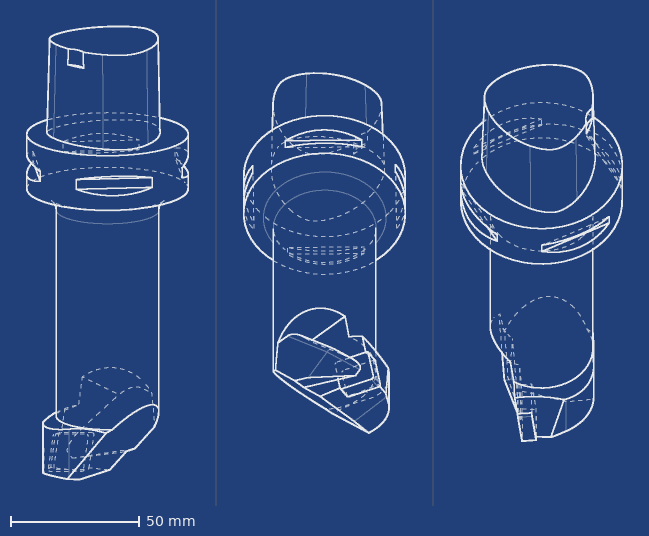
import cadquery as cq
import math


shank_length = 38.0
base_radius = 22.0
tip_radius = 21.2
base_lobe = 1.8
tip_lobe = 1.6
lobe_direction = 90
seam_angle = 38
spline_steps = 8

notch_radius = 7.5
notch_center_y = -25.8
notch_depth = 6.4

flange_radius = 31.5
flange_height = 22.0
neck_diameter = 40.0
neck_radius = neck_diameter / 2
neck_end_z = -30.6
neck_fillet = 7.0
neck_fillet_start = math.radians(26)

slot_count = 4
slot_flat = 27.8
slot_z = -12.3
slot_floor_height = 4.0
slot_mouth_height = 7.8

head_top_z = -114.0
head_bottom_z = -138.0
head_slope = 0.55
head_outer_radius = 32.0
head_arc_radius = 16.4
head_arc_x = -6.4
head_arc_y = -6.0
flank_angle = math.radians(17)
flank_length = 21.4
left_wall_angle = math.radians(216)

back_relief = ((neck_radius, 0, -106.3), (16.1, 0, -12.4))
side_relief = ((-23.9, 0, -116.8), (-1, -0.25, 0.1))
bottom_bevel = ((0, -12.5, -137.8), (0, -0.27, -1))
rake_point = (-24.7, 3.5, -116.8)
rake_normal = (-0.29, 1, -0.13)
flute_end_point = (-18.5, 7.5, -102.7)
flute_end_normal = (-0.39, 0.55, -0.75)

ridge_bend_x = -13.4
ridge_bend_z = -118.9
ridge_sink = 0.3
ridge_run = (18.7, 20.1)
ridge_height = 4.8
ridge_round = 3.2
ridge_width = 53.4
ridge_length = 106.8
ridge_underside = ((2.0, 0, -130.0), (0.23, 0, -1))

insert_tip_x = -27.2
insert_tip_z = -140.3
insert_side = 15.0
insert_thickness = 5.5
insert_corner_radius = 0.9
insert_lean = math.radians(6)

trim_size = 213.6


def on_rake(x, z):
    """Point of the rake plane at the given X and Z."""
    nx, ny, nz = rake_normal
    y = rake_point[1] - (nx * (x - rake_point[0]) + nz * (z - rake_point[2])) / ny
    return cq.Vector(x, y, z)


def half_space(point, normal):
    """Large block on the outward side of a plane."""
    plane = cq.Plane(origin=point, normal=normal)
    return cq.Workplane(plane).rect(trim_size, trim_size).extrude(trim_size)


def polygon_wire(radius, lobe, z):
    """Three-lobed outline made of six smooth spline edges."""
    def point(angle):
        x = radius * math.cos(angle) + 2 * lobe * math.cos(2 * angle) - lobe * math.cos(4 * angle)
        y = radius * math.sin(angle) - 2 * lobe * math.sin(2 * angle) - lobe * math.sin(4 * angle)
        turn = math.radians(lobe_direction)
        return cq.Vector(
            x * math.cos(turn) - y * math.sin(turn),
            x * math.sin(turn) + y * math.cos(turn),
            z,
        )

    def tangent(angle):
        heading = angle + math.radians(lobe_direction)
        return cq.Vector(-math.sin(heading), math.cos(heading), 0)

    seams = []
    for lobe_angle in (0, 120, 240, 360):
        seams += [math.radians(lobe_angle - seam_angle), math.radians(lobe_angle + seam_angle)]
    edges = []
    for start, end in zip(seams[:-2], seams[1:-1]):
        points = [point(start + (end - start) * i / spline_steps) for i in range(spline_steps + 1)]
        edges.append(cq.Edge.makeSpline(points, tangents=[tangent(start), tangent(end)]))
    return cq.Wire.assembleEdges(edges)


def make_shank():
    base = polygon_wire(base_radius, base_lobe, 0)
    tip = polygon_wire(tip_radius, tip_lobe, shank_length)
    shank = cq.Workplane(cq.Solid.makeLoft([base, tip], True))
    notch = (
        cq.Workplane("XY", origin=(0, notch_center_y, shank_length - notch_depth))
        .circle(notch_radius)
        .extrude(notch_depth)
    )
    return shank.cut(notch)


def make_flange_and_neck():
    arc_x = neck_radius + neck_fillet

    def fillet_point(angle):
        return (arc_x - neck_fillet * math.sin(angle), neck_end_z + neck_fillet * math.cos(angle))

    middle_angle = (neck_fillet_start + math.pi / 2) / 2
    return (
        cq.Workplane("XZ")
        .moveTo(0, 0)
        .lineTo(flange_radius, 0)
        .lineTo(flange_radius, -flange_height)
        .lineTo(*fillet_point(neck_fillet_start))
        .threePointArc(fillet_point(middle_angle), (neck_radius, neck_end_z))
        .lineTo(neck_radius, head_bottom_z)
        .lineTo(0, head_bottom_z)
        .close()
        .revolve(360, (0, 0), (0, 1))
    )


def make_gripper_slots():
    depth = flange_radius - slot_flat
    flare = (slot_mouth_height - slot_floor_height) / 2
    slot = (
        cq.Workplane("XZ")
        .moveTo(slot_flat, slot_z - slot_floor_height / 2)
        .lineTo(slot_flat + depth, slot_z - slot_floor_height / 2 - flare)
        .lineTo(slot_flat + depth, slot_z + slot_floor_height / 2 + flare)
        .lineTo(slot_flat, slot_z + slot_floor_height / 2)
        .close()
        .extrude(flange_radius, both=True)
    )
    pitch = 360 / slot_count
    return [slot.rotate((0, 0, 0), (0, 0, 1), pitch * (i + 0.5)) for i in range(slot_count)]


def make_head():
    def arc_point(angle):
        return (
            head_arc_x + head_arc_radius * math.cos(angle),
            head_arc_y + head_arc_radius * math.sin(angle),
        )

    flank_start_angle = flank_angle - math.pi / 2
    flank_x, flank_y = arc_point(flank_start_angle)
    middle_angle = (left_wall_angle + flank_start_angle + 2 * math.pi) / 2
    flank_end_x = flank_x + flank_length * math.cos(flank_angle)
    flank_end_y = flank_y + flank_length * math.sin(flank_angle)
    wall_x, wall_y = arc_point(left_wall_angle)
    wall_reach = wall_x + head_outer_radius
    wall_end_y = wall_y + wall_reach / math.tan(left_wall_angle)
    outline = (
        cq.Workplane("XY", origin=(0, 0, head_bottom_z))
        .moveTo(flank_x, flank_y)
        .lineTo(flank_end_x, flank_end_y)
        .lineTo(0, neck_radius)
        .lineTo(-head_outer_radius, neck_radius)
        .lineTo(-head_outer_radius, wall_end_y)
        .lineTo(wall_x, wall_y)
        .threePointArc(arc_point(middle_angle), (flank_x, flank_y))
        .close()
        .extrude(head_top_z - head_bottom_z)
    )
    cone_z = head_top_z - head_slope * (head_outer_radius - neck_radius)
    cone = (
        cq.Workplane("XZ")
        .moveTo(0, head_top_z)
        .lineTo(neck_radius, head_top_z)
        .lineTo(head_outer_radius, cone_z)
        .lineTo(head_outer_radius, head_bottom_z)
        .lineTo(0, head_bottom_z)
        .close()
        .revolve(360, (0, 0), (0, 1))
    )
    return outline.intersect(cone).cut(half_space(*side_relief))


def make_ridge():
    bend = on_rake(ridge_bend_x, ridge_bend_z)
    upper_end = on_rake(ridge_bend_x + ridge_run[0], ridge_bend_z + ridge_run[1])
    along = (upper_end - bend).normalized()
    outward = cq.Vector(*rake_normal).normalized()
    across = outward.cross(along)

    def round_bar(direction):
        plane = cq.Plane(origin=bend, xDir=across, normal=direction)
        return (
            cq.Workplane(plane)
            .moveTo(0, -ridge_width)
            .lineTo(0, ridge_height - ridge_round)
            .radiusArc((ridge_round, ridge_height), ridge_round)
            .lineTo(ridge_width, ridge_height)
            .lineTo(ridge_width, -ridge_width)
            .close()
            .extrude(ridge_length / 2, both=True)
        )

    level_bar = round_bar(along)
    sinking_bar = round_bar(along + outward * ridge_sink)
    return level_bar.intersect(sinking_bar).cut(half_space(*ridge_underside))


def make_flute():
    """Chip space on the +Y side of the rake plane, less the ridge left standing in it."""
    flute = half_space(rake_point, rake_normal).intersect(half_space(flute_end_point, flute_end_normal))
    return flute.cut(make_ridge())


def make_insert():
    tip = on_rake(insert_tip_x, insert_tip_z)
    level_direction = (rake_normal[1], -rake_normal[0], 0)
    plane = cq.Plane(origin=tip, xDir=level_direction, normal=rake_normal)
    long_part = insert_side * math.cos(insert_lean)
    short_part = insert_side * math.sin(insert_lean)
    corners = [
        (0, 0),
        (long_part, -short_part),
        (long_part + short_part, -short_part - long_part),
        (short_part, -long_part),
    ]
    plate = cq.Workplane(plane).polyline(corners).close().extrude(-insert_thickness)
    edge_direction = cq.selectors.ParallelDirSelector(cq.Vector(*rake_normal))
    return plate.edges(edge_direction).fillet(insert_corner_radius)


insert = make_insert()

holder = make_flange_and_neck().union(make_head())
for slot in make_gripper_slots():
    holder = holder.cut(slot)
holder = holder.cut(half_space(*back_relief)).cut(half_space(*bottom_bevel))
holder = holder.cut(make_flute())
holder = holder.union(make_shank())
holder = holder.cut(insert)

result = cq.Compound.makeCompound([holder.val(), insert.val()])